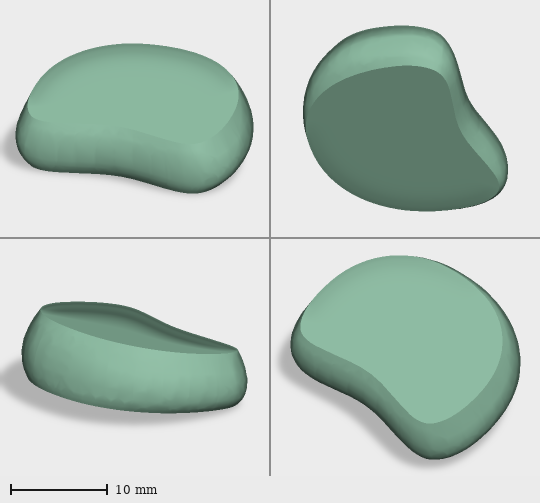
import cadquery as cq
import math


TOP_HEIGHT = 3.0
TOP_SLOPE = math.tan(math.radians(12.2))
BOTTOM_HEIGHT = -3.42
BOTTOM_SLOPE = math.tan(math.radians(7.2))

ROUNDNESS = 2.2
WIDEST_Y = -2.95
LOBE_X = 7.88
BACK_STEPS = 6
LOBE_STEPS = 4
NOTCH_STEPS = 4

SECTIONS = [
    (0.0, 11.13, 9.1, -8.3, -7.15),
    (0.35, 12.3, 9.2, -9.13, -8.2),
    (0.7, 11.77, 8.42, -9.08, -8.17),
    (1.0, 10.9, 6.95, -8.42, -7.34),
]


def superellipse(angle, semi_x, semi_y):
    """Point of a first-quadrant superellipse centred on the origin."""
    power = 2 / ROUNDNESS
    x = semi_x * abs(math.cos(angle)) ** power
    y = semi_y * abs(math.sin(angle)) ** power
    return x, y


def half_outline(half_width, back_y, lobe_y, notch_y):
    """Right half of the outline, from the middle of the back to just before the notch centre."""
    points = [(0, back_y)]
    for step in range(1, BACK_STEPS):
        angle = math.pi / 2 * (1 - step / BACK_STEPS)
        x, y = superellipse(angle, half_width, back_y - WIDEST_Y)
        points.append((x, WIDEST_Y + y))
    for step in range(LOBE_STEPS):
        angle = math.pi / 2 * step / LOBE_STEPS
        x, y = superellipse(angle, half_width - LOBE_X, WIDEST_Y - lobe_y)
        points.append((LOBE_X + x, WIDEST_Y - y))
    for step in range(NOTCH_STEPS):
        wave = (1 - math.cos(math.pi * step / NOTCH_STEPS)) / 2
        points.append((LOBE_X * (1 - step / NOTCH_STEPS), lobe_y + (notch_y - lobe_y) * wave))
    return points


def section_wire(fraction, half_width, back_y, lobe_y, notch_y):
    """Closed outline on the tilted plane at this fraction of the thickness."""
    right = half_outline(half_width, back_y, lobe_y, notch_y)
    left = [(-x, y) for x, y in reversed(right[1:])]
    outline = right + [(0, notch_y)] + left
    height = BOTTOM_HEIGHT + fraction * (TOP_HEIGHT - BOTTOM_HEIGHT)
    slope = BOTTOM_SLOPE + fraction * (TOP_SLOPE - BOTTOM_SLOPE)
    points = [cq.Vector(x, y, height + slope * y) for x, y in outline]
    return cq.Wire.assembleEdges([cq.Edge.makeSpline(points, periodic=True)])


wires = [section_wire(*section) for section in SECTIONS]
result = cq.Workplane(cq.Solid.makeLoft(wires))